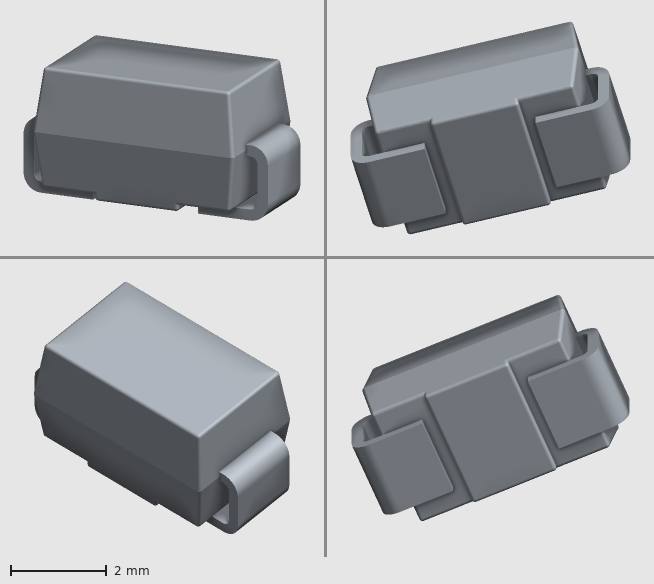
import cadquery as cq
import math

overall_length = 5.6
overall_width = 2.95
overall_height = 2.9

lead_thickness = 0.24
lead_width = 1.645
lead_height = 1.645
bend_outer_radius = 0.4
bend_inner_radius = bend_outer_radius - lead_thickness
foot_length = 1.595
embed_depth = 0.225

housing_length = 4.605
housing_bottom = 0.14
parting_height = lead_height - lead_thickness / 2
draft_angle = 7.0
edge_radius = 0.07

pedestal_length = 1.915
step_height = 0.29

shank_end = housing_length / 2 - embed_depth

match_tolerance = 5.6e-05


def drafted_half(height):
    """Half of the housing, narrowing away from the parting plane; negative height goes down."""
    inset = 2 * abs(height) * math.tan(math.radians(draft_angle))
    return (
        cq.Workplane("XY", origin=(0, 0, parting_height))
        .rect(housing_length, overall_width)
        .workplane(offset=height)
        .rect(housing_length - inset, overall_width - inset)
        .loft(ruled=True)
    )


def outer_edges(half):
    """Edges to round: everything off the parting plane except the inner corners of the steps."""
    chosen = []
    for edge in half.edges().vals():
        centre = edge.Center()
        on_parting_plane = math.isclose(centre.z, parting_height, abs_tol=match_tolerance)
        in_step_corner = (
            math.isclose(centre.z, step_height, abs_tol=match_tolerance)
            and math.isclose(abs(centre.x), pedestal_length / 2, abs_tol=match_tolerance)
        )
        if not on_parting_plane and not in_step_corner:
            chosen.append(edge)
    return half.newObject(chosen)


def end_step(side):
    """Block removed below one end of the housing to leave the pedestal."""
    step_length = (housing_length - pedestal_length) / 2
    return (
        cq.Workplane("XY")
        .box(step_length, overall_width, step_height, centered=(True, True, False))
        .translate((side * (pedestal_length + step_length) / 2, 0, 0))
    )


def make_lead(side):
    """One lead; side is -1 for the -X end and +1 for the +X end."""
    outer_x = overall_length / 2
    inner_x = outer_x - lead_thickness
    bend_x = outer_x - bend_outer_radius
    foot_end = outer_x - foot_length
    upper_bend_z = lead_height - bend_outer_radius
    lower_bend_z = bend_outer_radius
    diagonal = math.sqrt(0.5)
    outer_mid = bend_outer_radius * diagonal
    inner_mid = bend_inner_radius * diagonal

    lead = (
        cq.Workplane("XZ")
        .moveTo(shank_end, lead_height)
        .lineTo(bend_x, lead_height)
        .threePointArc((bend_x + outer_mid, upper_bend_z + outer_mid), (outer_x, upper_bend_z))
        .lineTo(outer_x, lower_bend_z)
        .threePointArc((bend_x + outer_mid, lower_bend_z - outer_mid), (bend_x, 0))
        .lineTo(foot_end, 0)
        .lineTo(foot_end, lead_thickness)
        .lineTo(bend_x, lead_thickness)
        .threePointArc((bend_x + inner_mid, lower_bend_z - inner_mid), (inner_x, lower_bend_z))
        .lineTo(inner_x, upper_bend_z)
        .threePointArc((bend_x + inner_mid, upper_bend_z + inner_mid), (bend_x, lead_height - lead_thickness))
        .lineTo(shank_end, lead_height - lead_thickness)
        .close()
        .extrude(lead_width / 2, both=True)
    )
    if side < 0:
        lead = lead.mirror("YZ")
    return lead


def make_housing(leads):
    upper = drafted_half(overall_height - parting_height)
    lower = drafted_half(housing_bottom - parting_height)
    for side in (-1, 1):
        lower = lower.cut(end_step(side))
    upper = outer_edges(upper).fillet(edge_radius)
    lower = outer_edges(lower).fillet(edge_radius)
    housing = upper.union(lower)
    for lead in leads:
        housing = housing.cut(lead)
    return housing


leads = [make_lead(side) for side in (-1, 1)]
housing = make_housing(leads)

result = cq.Compound.makeCompound([housing.solids().val(), *[lead.val() for lead in leads]])